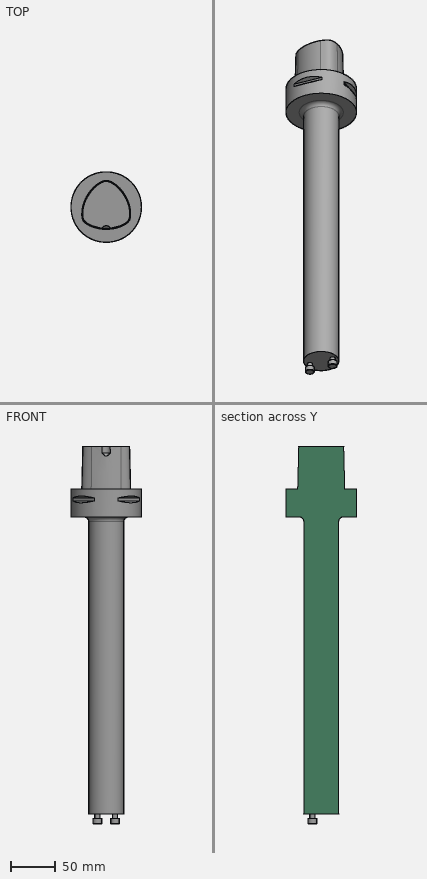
import cadquery as cq
import math

TOTAL_LENGTH = 427.0
SHANK_LENGTH = 48.0
FLANGE_HEIGHT = 32.0
BOLT_LENGTH = 11.0
BAR_LENGTH = TOTAL_LENGTH - SHANK_LENGTH - FLANGE_HEIGHT - BOLT_LENGTH
BAR_BOTTOM = -(FLANGE_HEIGHT + BAR_LENGTH)

FLANGE_RADIUS = 80.0 / 2
BAR_RADIUS = 40.0 / 2
BAR_FILLET = 5.0

SHANK_WIDTH = 55.6
SHANK_TAPER = 1 / 20
LOBE_HEIGHT = 2.5
LOBE_HALF_ANGLE = 37.0
LOBE_DIRECTIONS = (90.0, 210.0, 330.0)
LOBE_SPACING = 120.0
POINTS_PER_FACE = 7

KEYWAY_RADIUS = 5.0
KEYWAY_BACK_Y = -21.0
KEYWAY_WALL_DEPTH = 7.7

GROOVE_CENTER_Z = -12.0
GROOVE_FLOOR_DISTANCE = 36.0
GROOVE_FLOOR_HEIGHT = 3.0
GROOVE_FLANK_ANGLE = 30.0

BOLT_OFFSET = 10.0
BOLT_STEM_RADIUS = 6.0 / 2
BOLT_HEAD_RADIUS = 10.0 / 2
BOLT_HEAD_HEIGHT = 6.0
BOLT_HEAD_CHAMFER = 0.5

DIAGONALS = (45.0, 135.0, 225.0, 315.0)


def polygon_point(width, angle, z):
    """Point of a constant-width, three-lobed curve whose normal has the given angle."""
    normal = math.radians(angle)
    lobe_phase = math.radians(3 * (angle - LOBE_DIRECTIONS[0]))
    support = width / 2 + LOBE_HEIGHT * math.cos(lobe_phase)
    slope = -3 * LOBE_HEIGHT * math.sin(lobe_phase)
    x = support * math.cos(normal) - slope * math.sin(normal)
    y = support * math.sin(normal) + slope * math.cos(normal)
    return cq.Vector(x, y, z)


def polygon_side(width, start, end, z):
    step = (end - start) / (POINTS_PER_FACE - 1)
    points = [polygon_point(width, start + i * step, z) for i in range(POINTS_PER_FACE)]
    return cq.Edge.makeSpline(points)


def polygon_wire(width, z):
    """Closed outline with a lobe curve and a flatter flank curve for each lobe."""
    edges = []
    for direction in LOBE_DIRECTIONS:
        lobe_start = direction - LOBE_HALF_ANGLE
        lobe_end = direction + LOBE_HALF_ANGLE
        edges.append(polygon_side(width, lobe_start, lobe_end, z))
        edges.append(polygon_side(width, lobe_end, lobe_start + LOBE_SPACING, z))
    return cq.Wire.assembleEdges(edges)


def make_shank():
    top_width = SHANK_WIDTH - SHANK_LENGTH * SHANK_TAPER
    base = polygon_wire(SHANK_WIDTH, 0)
    top = polygon_wire(top_width, SHANK_LENGTH)
    return cq.Workplane(obj=cq.Solid.makeLoft([base, top], True))


def make_keyway():
    """Pocket cutter: a cylinder ending in a 45 degree cone."""
    wall_bottom = SHANK_LENGTH - KEYWAY_WALL_DEPTH
    return (
        cq.Workplane("XZ")
        .moveTo(0, SHANK_LENGTH)
        .lineTo(KEYWAY_RADIUS, SHANK_LENGTH)
        .lineTo(KEYWAY_RADIUS, wall_bottom)
        .lineTo(0, wall_bottom - KEYWAY_RADIUS)
        .close()
        .revolve(360, (0, 0, 0), (0, 1, 0))
        .translate((0, KEYWAY_BACK_Y - KEYWAY_RADIUS, 0))
    )


def make_body():
    """Flange and bar, with a fillet in the corner under the flange."""
    fillet_bottom = -FLANGE_HEIGHT - BAR_FILLET
    return (
        cq.Workplane("XZ")
        .lineTo(FLANGE_RADIUS, 0)
        .lineTo(FLANGE_RADIUS, -FLANGE_HEIGHT)
        .lineTo(BAR_RADIUS + BAR_FILLET, -FLANGE_HEIGHT)
        .radiusArc((BAR_RADIUS, fillet_bottom), -BAR_FILLET)
        .lineTo(BAR_RADIUS, BAR_BOTTOM)
        .lineTo(0, BAR_BOTTOM)
        .close()
        .revolve(360, (0, 0, 0), (0, 1, 0))
    )


def make_groove(direction):
    """Trapezoidal cutter that runs across the rim and widens outward."""
    depth = FLANGE_RADIUS - GROOVE_FLOOR_DISTANCE
    floor_half = GROOVE_FLOOR_HEIGHT / 2
    mouth_half = floor_half + depth * math.tan(math.radians(GROOVE_FLANK_ANGLE))
    return (
        cq.Workplane("XZ")
        .moveTo(GROOVE_FLOOR_DISTANCE, GROOVE_CENTER_Z - floor_half)
        .lineTo(FLANGE_RADIUS, GROOVE_CENTER_Z - mouth_half)
        .lineTo(FLANGE_RADIUS, GROOVE_CENTER_Z + mouth_half)
        .lineTo(GROOVE_FLOOR_DISTANCE, GROOVE_CENTER_Z + floor_half)
        .close()
        .extrude(FLANGE_RADIUS, both=True)
        .rotate((0, 0, 0), (0, 0, 1), direction)
    )


def make_bolts():
    """Two bolts, heads down, diagonally opposite about the bar axis."""
    stem_length = BOLT_LENGTH - BOLT_HEAD_HEIGHT
    centers = [(-BOLT_OFFSET, BOLT_OFFSET), (BOLT_OFFSET, -BOLT_OFFSET)]
    stems = (
        cq.Workplane("XY", origin=(0, 0, BAR_BOTTOM))
        .pushPoints(centers)
        .circle(BOLT_STEM_RADIUS)
        .extrude(-stem_length)
    )
    heads = (
        cq.Workplane("XY", origin=(0, 0, BAR_BOTTOM - stem_length))
        .pushPoints(centers)
        .circle(BOLT_HEAD_RADIUS)
        .extrude(-BOLT_HEAD_HEIGHT)
        .faces("<Z")
        .chamfer(BOLT_HEAD_CHAMFER)
    )
    return stems.union(heads)


result = make_body().union(make_shank().cut(make_keyway())).union(make_bolts())
for groove_direction in DIAGONALS:
    result = result.cut(make_groove(groove_direction))